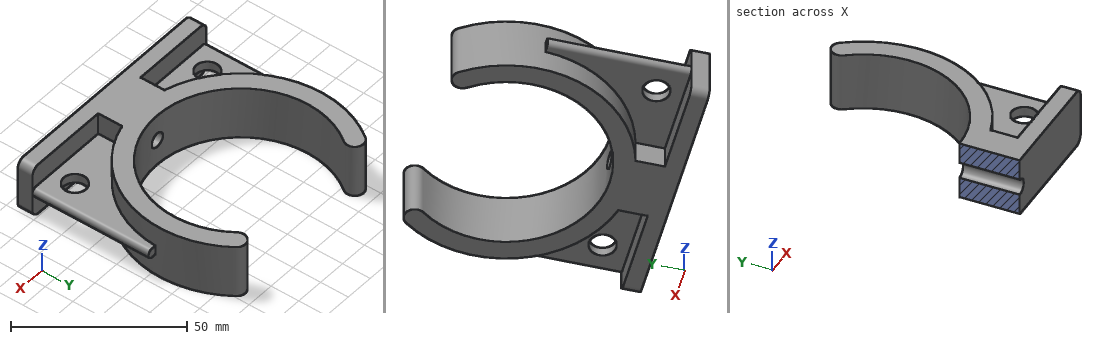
import cadquery as cq
import math

base_length = 79.3
base_thickness = 5.4
height = 18.8
base_corner_radius = 2.8

overall_depth = 72.3
ring_center_y = 49.3
ring_outer_radius = 36.6
ring_inner_radius = 30.3
ring_mid_radius = (ring_outer_radius + ring_inner_radius) / 2
tip_radius = (ring_outer_radius - ring_inner_radius) / 2
tip_angle = math.asin((overall_depth - tip_radius - ring_center_y) / ring_mid_radius)

neck_width = 19.35

web_thickness = 3.3
web_edge_radius = 1.5
web_end_y = 47.4

web_hole_diameter = 7.9
web_hole_spacing = 60.4
web_hole_y = 13.2
screw_hole_diameter = 5.1


def block(width, y_start, y_end, thickness):
    """Box centred on x and z, spanning y_start to y_end."""
    middle_y = (y_start + y_end) / 2
    return cq.Workplane("XY").center(0, middle_y).box(width, y_end - y_start, thickness)


def ring_cylinder(radius):
    """Full-height cylinder on the ring axis."""
    return cq.Workplane("XY").center(0, ring_center_y).circle(radius).extrude(height / 2, both=True)


def ring_opening():
    """Wedge from the ring axis towards +Y that opens the ring between its tips."""
    reach = 2 * ring_outer_radius
    edge_x = reach * math.cos(tip_angle)
    edge_y = reach * math.sin(tip_angle)
    return (
        cq.Workplane("XY")
        .center(0, ring_center_y)
        .polyline([(0, 0), (edge_x, edge_y), (-edge_x, edge_y)])
        .close()
        .extrude(height / 2, both=True)
    )


def ring_tips():
    """Full-height cylinders that round the two free ends of the ring."""
    tip_x = ring_mid_radius * math.cos(tip_angle)
    tip_y = ring_center_y + ring_mid_radius * math.sin(tip_angle)
    return (
        cq.Workplane("XY")
        .pushPoints([(-tip_x, tip_y), (tip_x, tip_y)])
        .circle(tip_radius)
        .extrude(height / 2, both=True)
    )


def web():
    """Plate with rounded side edges and two through holes."""
    plate = block(base_length, 0, web_end_y, web_thickness).edges("|Y").fillet(web_edge_radius)
    holes = (
        cq.Workplane("XY")
        .pushPoints([(side * web_hole_spacing / 2, web_hole_y) for side in (-1, 1)])
        .circle(web_hole_diameter / 2)
        .extrude(web_thickness, both=True)
    )
    return plate.cut(holes)


base = block(base_length, 0, base_thickness, height).edges("|Y").fillet(base_corner_radius)
neck = block(neck_width, 0, ring_center_y, height)
screw_hole = cq.Workplane("XZ").circle(screw_hole_diameter / 2).extrude(-ring_center_y)

body = base.union(neck).union(web()).union(ring_cylinder(ring_outer_radius))
clip = body.cut(ring_cylinder(ring_inner_radius)).cut(ring_opening()).union(ring_tips())
result = clip.cut(screw_hole)